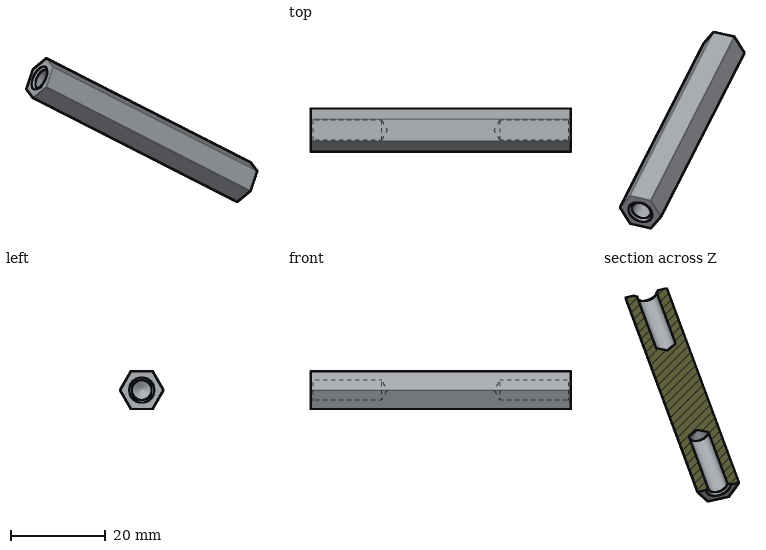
import cadquery as cq
import math

length = 55.0
side_count = 6
across_flats = 8.0
edge_radius = 0.1

hole_diameter = 4.2
lead_in_diameter = 5.3
lead_in_angle = 90.0
hole_depth = 15.0
drill_point_angle = 120.0


def cone_height(radial_step, included_angle):
    """Axial length of a cone that changes radius by radial_step."""
    return radial_step / math.tan(math.radians(included_angle / 2))


def make_hexagonal_bar():
    """Bar centred on the origin, flats at top and bottom, all edges rounded."""
    across_corners = across_flats / math.cos(math.pi / side_count)
    bar = cq.Workplane("YZ").polygon(side_count, across_corners).extrude(length / 2, both=True)
    return bar.edges().fillet(edge_radius)


def make_hole_cutter():
    """Solid of revolution shaped like the hole that opens at the -X end."""
    hole_radius = hole_diameter / 2
    lead_in_radius = lead_in_diameter / 2
    mouth_x = -length / 2
    lead_in_x = mouth_x + cone_height(lead_in_radius - hole_radius, lead_in_angle)
    shoulder_x = mouth_x + hole_depth
    tip_x = shoulder_x + cone_height(hole_radius, drill_point_angle)
    profile = [
        (mouth_x, 0),
        (mouth_x, lead_in_radius),
        (lead_in_x, hole_radius),
        (shoulder_x, hole_radius),
        (tip_x, 0),
    ]
    return cq.Workplane("XY").polyline(profile).close().revolve(360, (0, 0, 0), (1, 0, 0))


hole_cutter = make_hole_cutter()
opposite_hole_cutter = hole_cutter.mirror("YZ")

result = make_hexagonal_bar().cut(hole_cutter).cut(opposite_hole_cutter)